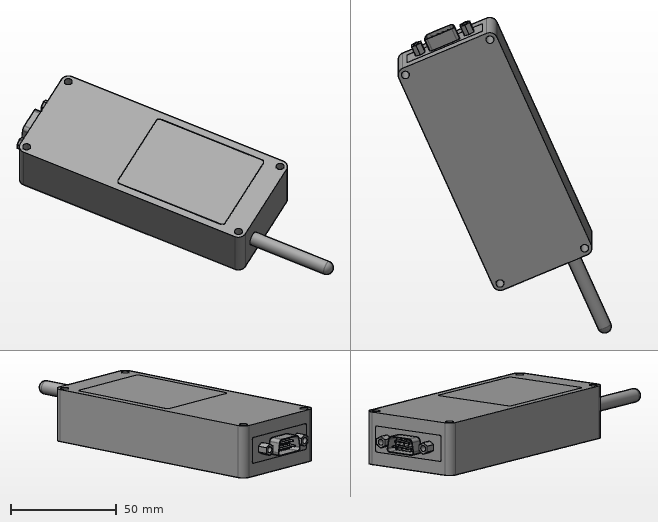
import cadquery as cq
import math

HOUSING_LENGTH = 119.5
HOUSING_WIDTH = 50.7
HOUSING_HEIGHT = 25.4
CORNER_RADIUS = 3.7
BOLT_HOLE_DIAMETER = 3.7
BOLT_SPACING_X = 112.4
BOLT_SPACING_Y = 43.7

LABEL_LENGTH = 56.8
LABEL_WIDTH = 43.2
LABEL_CORNER_RADIUS = 1.5
LABEL_THICKNESS = 0.5
LABEL_CENTRE_X = 19.8

PANEL_WIDTH = 39.0
PANEL_HEIGHT = 12.6
PANEL_CORNER_RADIUS = 0.8
PANEL_THICKNESS = 1.0
SHELL_LENGTH = 6.2
SHELL_BASE_WIDTH = 16.3
SHELL_HEIGHT = 7.9
SHELL_SIDE_ANGLE = 10.0
SHELL_TOP_RADIUS = 2.0
SHELL_BOTTOM_RADIUS = 1.5
SHELL_WALL = 0.3
PIN_DIAMETER = 0.8
PIN_LENGTH = 5.0
PIN_PITCH = 2.7
PIN_ROW_SPACING = 2.7
UPPER_PIN_COUNT = 4
LOWER_PIN_COUNT = 5
NUT_LENGTH = 5.0
NUT_ACROSS_FLATS = 4.9
NUT_SPACING = 25.2
NUT_HOLE_DIAMETER = 2.9

ANTENNA_LENGTH = 42.3
ANTENNA_DIAMETER = 6.5
ANTENNA_CENTRE_Y = -13.6

LEFT_END = -HOUSING_LENGTH / 2
RIGHT_END = HOUSING_LENGTH / 2
TOP = HOUSING_HEIGHT / 2


def outward_plane(x):
    """Plane across the connector axis: local x is -Y, local y is Z, normal is -X."""
    return cq.Plane(origin=(x, 0, 0), xDir=(0, -1, 0), normal=(-1, 0, 0))


def make_label():
    return (
        cq.Workplane("XY", origin=(LABEL_CENTRE_X, 0, TOP - LABEL_THICKNESS))
        .rect(LABEL_LENGTH, LABEL_WIDTH)
        .extrude(LABEL_THICKNESS)
        .edges("|Z")
        .fillet(LABEL_CORNER_RADIUS)
    )


def make_panel():
    return (
        cq.Workplane(outward_plane(LEFT_END + PANEL_THICKNESS))
        .rect(PANEL_WIDTH, PANEL_HEIGHT)
        .extrude(PANEL_THICKNESS)
        .edges("|X")
        .fillet(PANEL_CORNER_RADIUS)
    )


def make_shell():
    """Hollow D-shaped tube, narrower at the top, with rounded corners."""
    half_base = SHELL_BASE_WIDTH / 2
    half_top = half_base - SHELL_HEIGHT * math.tan(math.radians(SHELL_SIDE_ANGLE))
    half_height = SHELL_HEIGHT / 2
    outer = (
        cq.Workplane(outward_plane(LEFT_END))
        .polyline([
            (-half_base, -half_height),
            (half_base, -half_height),
            (half_top, half_height),
            (-half_top, half_height),
        ])
        .close()
        .extrude(SHELL_LENGTH)
        .edges("|X and >Z")
        .fillet(SHELL_TOP_RADIUS)
        .edges("|X and <Z")
        .fillet(SHELL_BOTTOM_RADIUS)
    )
    cavity = (
        outer.faces("<X")
        .wires()
        .toPending()
        .offset2D(-SHELL_WALL)
        .extrude(-SHELL_LENGTH, combine=False)
    )
    return outer.cut(cavity)


def make_pin_row(count, height):
    return (
        cq.Workplane(outward_plane(LEFT_END))
        .center(0, height)
        .rarray(PIN_PITCH, 1.7, count, 1)
        .circle(PIN_DIAMETER / 2)
        .extrude(PIN_LENGTH)
    )


def make_jack_nuts():
    """Two hexagonal nuts, points up and down, bored down to the panel face."""
    corner_diameter = NUT_ACROSS_FLATS / math.cos(math.pi / 6)
    hexagon = cq.Sketch().regularPolygon(corner_diameter / 2, 6)
    return (
        cq.Workplane(outward_plane(LEFT_END))
        .rarray(NUT_SPACING, 1.7, 2, 1)
        .placeSketch(hexagon)
        .extrude(NUT_LENGTH)
        .faces("<X")
        .workplane(origin=(LEFT_END - NUT_LENGTH, 0, 0))
        .rarray(NUT_SPACING, 1.7, 2, 1)
        .hole(NUT_HOLE_DIAMETER, NUT_LENGTH)
    )


def make_connector():
    return (
        make_panel()
        .union(make_shell())
        .union(make_pin_row(UPPER_PIN_COUNT, PIN_ROW_SPACING / 2))
        .union(make_pin_row(LOWER_PIN_COUNT, -PIN_ROW_SPACING / 2))
        .union(make_jack_nuts())
    )


def make_housing():
    """Block with rounded vertical corners, four through holes and two shallow recesses."""
    return (
        cq.Workplane("XY")
        .box(HOUSING_LENGTH, HOUSING_WIDTH, HOUSING_HEIGHT)
        .edges("|Z")
        .fillet(CORNER_RADIUS)
        .faces(">Z")
        .workplane()
        .rarray(BOLT_SPACING_X, BOLT_SPACING_Y, 2, 2)
        .hole(BOLT_HOLE_DIAMETER)
        .cut(make_label())
        .cut(make_panel())
    )


def make_antenna():
    """Rod along X whose free end is a hemisphere."""
    radius = ANTENNA_DIAMETER / 2
    straight_length = ANTENNA_LENGTH - radius
    rod = (
        cq.Workplane("YZ", origin=(RIGHT_END, ANTENNA_CENTRE_Y, 0))
        .circle(radius)
        .extrude(straight_length)
    )
    tip = cq.Workplane("XY", origin=(RIGHT_END + straight_length, ANTENNA_CENTRE_Y, 0)).sphere(radius)
    return rod.union(tip)


housing = make_housing()
label = make_label()
connector = make_connector()
antenna = make_antenna()

result = cq.Compound.makeCompound([
    housing.solids().val(),
    label.solids().val(),
    connector.solids().val(),
    antenna.solids().val(),
])